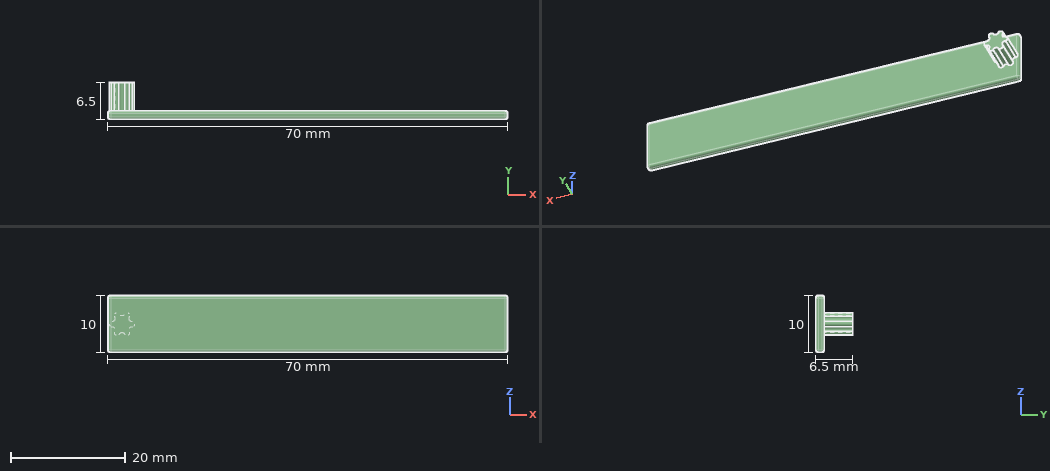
import cadquery as cq
import math

BAR_LENGTH = 70.0
BAR_HEIGHT = 10.0
BAR_THICKNESS = 1.55
EDGE_RADIUS = 0.5

TOTAL_DEPTH = 6.5
PEG_LENGTH = TOTAL_DEPTH - BAR_THICKNESS
PEG_END_OFFSET = 2.45
LOBE_COUNT = 6
TIP_RADIUS = 2.205
VALLEY_RADIUS = 1.5
LOBE_HALF_WIDTH = 0.5
FLANK_DISTANCE = 1.8


def polar(radius, angle):
    return radius * math.cos(angle), radius * math.sin(angle)


def make_bar():
    bar = cq.Workplane("XY").box(BAR_LENGTH, BAR_THICKNESS, BAR_HEIGHT)
    return bar.edges().fillet(EDGE_RADIUS)


def make_peg():
    """Extrude a ring of convex lobe arcs joined by concave valley arcs."""
    pitch = 2 * math.pi / LOBE_COUNT
    flank_radius = math.hypot(FLANK_DISTANCE, LOBE_HALF_WIDTH)
    flank_angle = math.atan2(LOBE_HALF_WIDTH, FLANK_DISTANCE)
    peg_plane = cq.Plane(
        origin=(PEG_END_OFFSET - BAR_LENGTH / 2, 0, 0),
        xDir=(1, 0, 0),
        normal=(0, 1, 0),
    )
    outline = cq.Workplane(peg_plane).moveTo(*polar(flank_radius, -flank_angle))
    for lobe in range(LOBE_COUNT):
        angle = lobe * pitch
        lobe_end = polar(flank_radius, angle + flank_angle)
        next_lobe_start = polar(flank_radius, angle + pitch - flank_angle)
        outline = outline.threePointArc(polar(TIP_RADIUS, angle), lobe_end)
        outline = outline.threePointArc(polar(VALLEY_RADIUS, angle + pitch / 2), next_lobe_start)
    return outline.close().extrude(BAR_THICKNESS / 2 + PEG_LENGTH)


result = make_bar().union(make_peg())